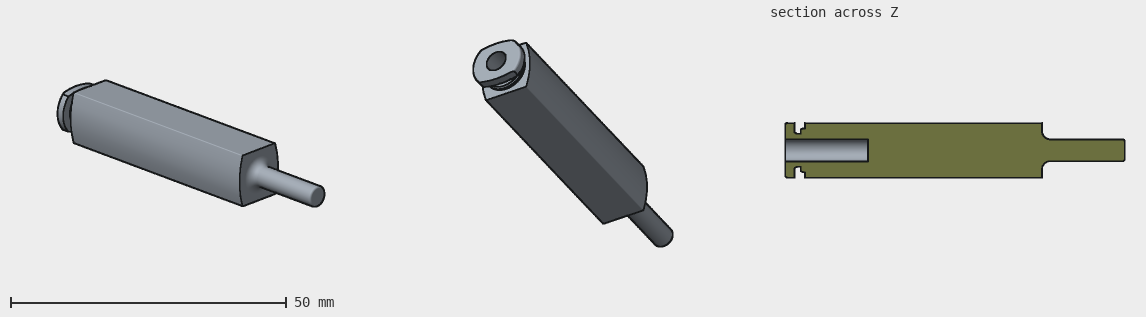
import cadquery as cq
import math

total_length = 61.6
body_start = 3.6
body_length = 43.0
body_end = body_start + body_length

body_width = 10.0
body_height = 10.0
body_edge_width = 8.4
body_edge_fillet = 0.2

rim_diameter = 10.0
rim_height = 8.0
rim_length = 1.7
rim_face_radius = 12.5
neck_diameter = 6.1
shoulder_diameter = 8.0
shoulder_start = 2.8
rim_fillet = 0.4

cone_length = 0.4
cone_angle = 30.0
cone_depth = cone_length * math.tan(math.radians(cone_angle))

bore_diameter = 4.0
bore_depth = 15.0

pin_diameter = 4.0
pin_root_fillet = 1.5
pin_tip_fillet = 0.4


def cylinder(diameter, start, end):
    """Solid cylinder on the X axis between two X positions."""
    return cq.Workplane("YZ", origin=(start, 0, 0)).circle(diameter / 2).extrude(end - start)


def make_body():
    half_edge = body_edge_width / 2
    half_width = body_width / 2
    half_height = body_height / 2
    return (
        cq.Workplane("YZ", origin=(body_start, 0, 0))
        .moveTo(-half_edge, half_height)
        .lineTo(half_edge, half_height)
        .threePointArc((half_width, 0), (half_edge, -half_height))
        .lineTo(-half_edge, -half_height)
        .threePointArc((-half_width, 0), (-half_edge, half_height))
        .close()
        .extrude(body_length)
        .edges("|X")
        .fillet(body_edge_fillet)
    )


def make_rim():
    """Round disc with a rounded front edge, trimmed by shallow arcs above and below."""
    rim = cylinder(rim_diameter, 0, rim_length).faces("<X").edges().fillet(rim_fillet)
    arc_center = rim_face_radius - rim_height / 2
    for side in (1, -1):
        trim = (
            cq.Workplane("YZ")
            .center(0, -side * arc_center)
            .circle(rim_face_radius)
            .extrude(rim_length)
        )
        rim = rim.intersect(trim)
    return rim


def make_neck():
    """Neck with a conical flare against the rim, and a shoulder with a conical front edge."""
    neck_radius = neck_diameter / 2
    shoulder_radius = shoulder_diameter / 2
    return (
        cq.Workplane("XY")
        .moveTo(rim_length, 0)
        .lineTo(rim_length, neck_radius + cone_depth)
        .lineTo(rim_length + cone_length, neck_radius)
        .lineTo(shoulder_start, neck_radius)
        .lineTo(shoulder_start, shoulder_radius - cone_depth)
        .lineTo(shoulder_start + cone_length, shoulder_radius)
        .lineTo(body_start, shoulder_radius)
        .lineTo(body_start, 0)
        .close()
        .revolve(360, (0, 0, 0), (1, 0, 0))
    )


def make_pin():
    """Round pin with a rounded tip, flared where it meets the end of the body."""
    pin_radius = pin_diameter / 2
    arc_offset = pin_root_fillet * (1 - math.sqrt(0.5))
    return (
        cq.Workplane("XY")
        .moveTo(body_end, 0)
        .lineTo(body_end, pin_radius + pin_root_fillet)
        .threePointArc(
            (body_end + arc_offset, pin_radius + arc_offset),
            (body_end + pin_root_fillet, pin_radius),
        )
        .lineTo(total_length, pin_radius)
        .lineTo(total_length, 0)
        .close()
        .revolve(360, (0, 0, 0), (1, 0, 0))
        .faces(">X")
        .edges()
        .fillet(pin_tip_fillet)
    )


result = (
    make_body()
    .union(make_pin())
    .union(make_neck())
    .union(make_rim())
    .cut(cylinder(bore_diameter, 0, bore_depth))
)